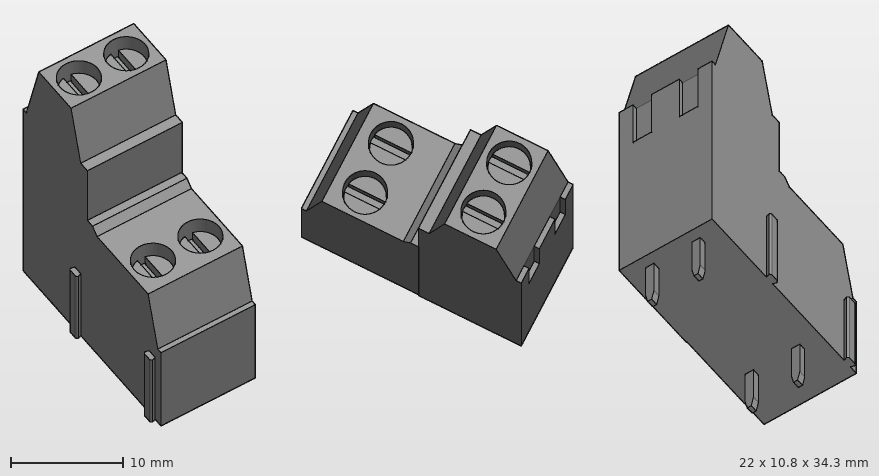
import cadquery as cq
import math

length = 22.0
total_height = 34.3
pin_length = 4.85
housing_height = total_height - pin_length
width = 10.2
lower_back_inset = 0.07

upper_tier_end = 10.25
ledge = 0.5
left_ledge_z = 22.0
upper_top_start = 2.5
upper_top_end = 7.65
slope_run = 1.55
slope_drop = 6.0

lower_top_z = 16.0
lower_top_end = 19.93
step_z = 16.7
step_length = 0.82
step_chamfer = step_z - lower_top_z

pitch = 5.08
first_pole_y = 2.57
pole_ys = [first_pole_y, first_pole_y + pitch]

well_diameter = 4.0
screw_diameter = 3.8
screw_recess = 1.58
slot_width = 0.82
slot_depth = 1.0
upper_screw_x = (upper_top_start + upper_top_end) / 2
lower_screw_x = 16.88

pin_thickness = 0.75
pin_width = 0.93
pin_tip_width = 0.45
pin_tip_length = 1.03
pin_xs = [1.5, 16.67]

pocket_width = 2.02
pocket_floor_z = 16.77

rib_xs = [8.75, 20.58]
rib_height = 8.45
rib_depth = 0.55
rib_root_width = 0.95
rib_width = 1.15
rib_corner = 0.2


def make_housing():
    upper = (
        cq.Workplane("XZ")
        .moveTo(0, 0)
        .lineTo(0, left_ledge_z)
        .lineTo(ledge, left_ledge_z)
        .lineTo(upper_top_start, housing_height)
        .lineTo(upper_top_end, housing_height)
        .lineTo(upper_top_end + slope_run, housing_height - slope_drop)
        .lineTo(upper_tier_end, housing_height - slope_drop)
        .lineTo(upper_tier_end, 0)
        .close()
        .extrude(-width)
    )
    step_end = upper_tier_end + step_length
    lower = (
        cq.Workplane("XZ")
        .moveTo(upper_tier_end, 0)
        .lineTo(upper_tier_end, step_z)
        .lineTo(step_end, step_z)
        .lineTo(step_end + step_chamfer, lower_top_z)
        .lineTo(lower_top_end, lower_top_z)
        .lineTo(lower_top_end + slope_run, lower_top_z - slope_drop)
        .lineTo(length, lower_top_z - slope_drop)
        .lineTo(length, 0)
        .close()
        .extrude(-(width - lower_back_inset))
    )
    return upper.union(lower)


def make_screw_well(x, y, top_z):
    """Volume to remove: a round well around a slotted screw head."""
    well_depth = screw_recess + slot_depth
    floor_z = top_z - well_depth
    well = cq.Workplane("XY", origin=(x, y, floor_z)).circle(well_diameter / 2).extrude(well_depth)
    head = cq.Workplane("XY", origin=(x, y, floor_z)).circle(screw_diameter / 2).extrude(slot_depth)
    slot = cq.Workplane("XY", origin=(x, y, floor_z)).rect(well_diameter, slot_width).extrude(slot_depth)
    return well.cut(head.cut(slot))


def make_pin(x, y):
    """Flat pin below the housing, tapered in Y at its tip."""
    return (
        cq.Workplane("YZ", origin=(x - pin_thickness / 2, y, 0))
        .moveTo(-pin_width / 2, 0)
        .lineTo(-pin_width / 2, pin_tip_length - pin_length)
        .lineTo(-pin_tip_width / 2, -pin_length)
        .lineTo(pin_tip_width / 2, -pin_length)
        .lineTo(pin_width / 2, pin_tip_length - pin_length)
        .lineTo(pin_width / 2, 0)
        .close()
        .extrude(pin_thickness)
    )


def make_pocket(y):
    """Volume to remove: a pocket as deep as the left ledge and open at its top."""
    return cq.Workplane("XY").box(
        ledge, pocket_width, left_ledge_z - pocket_floor_z, centered=(False, True, False)
    ).translate((0, y, pocket_floor_z))


def make_rib(x):
    """Vertical rib that widens away from the front face and ends in rounded corners."""
    half_width = rib_width / 2
    corner_y = rib_corner - rib_depth
    arc_offset = rib_corner * (1 - math.sqrt(0.5))
    arc_x = half_width - arc_offset
    arc_y = arc_offset - rib_depth
    return (
        cq.Workplane("XY", origin=(x, 0, 0))
        .moveTo(-rib_root_width / 2, 0)
        .lineTo(-half_width, corner_y)
        .threePointArc((-arc_x, arc_y), (rib_corner - half_width, -rib_depth))
        .lineTo(half_width - rib_corner, -rib_depth)
        .threePointArc((arc_x, arc_y), (half_width, corner_y))
        .lineTo(rib_root_width / 2, 0)
        .close()
        .extrude(rib_height)
    )


result = make_housing()

for pole_y in pole_ys:
    result = result.cut(make_screw_well(upper_screw_x, pole_y, housing_height))
    result = result.cut(make_screw_well(lower_screw_x, pole_y, lower_top_z))
    result = result.cut(make_pocket(pole_y))
    for pin_x in pin_xs:
        result = result.union(make_pin(pin_x, pole_y))

for rib_x in rib_xs:
    result = result.union(make_rib(rib_x))